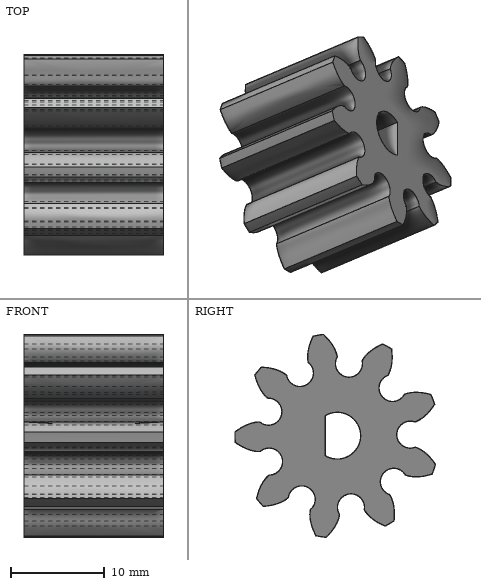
import cadquery as cq
import math

gear_module = 2.0
tooth_count = 9
pressure_angle = math.radians(20)
face_width = 15.0
root_radius = 6.4
tooth_tilt = math.radians(-0.8)

bore_diameter = 5.0
bore_flat_offset = 1.28

pitch_radius = gear_module * tooth_count / 2
tip_radius = pitch_radius + gear_module
base_radius = pitch_radius * math.cos(pressure_angle)
tip_roll = math.sqrt((tip_radius / base_radius) ** 2 - 1)
tooth_pitch = 2 * math.pi / tooth_count
flank_point_count = 6


def involute(angle):
    """Involute function of a pressure angle."""
    return math.tan(angle) - angle


def tooth_half_angle(radius):
    """Angle from the tooth centreline to its involute flank at a given radius."""
    half_angle_at_base = tooth_pitch / 4 + involute(pressure_angle)
    return half_angle_at_base - involute(math.acos(base_radius / radius))


def polar(radius, angle):
    """Point in the YZ plane; angle runs from -Y towards +Z."""
    return (-radius * math.cos(angle), radius * math.sin(angle))


def flank_points(centre_angle, side):
    """Points along one flank from base to tip; side is -1 or +1."""
    points = []
    for step in range(flank_point_count):
        roll = tip_roll * step / (flank_point_count - 1)
        radius = base_radius * math.sqrt(1 + roll ** 2)
        points.append(polar(radius, centre_angle + side * tooth_half_angle(radius)))
    return points


def make_gear():
    """Toothed body: involute flanks, round tips and one round root arc per gap."""
    outline = cq.Workplane("YZ", origin=(-face_width / 2, 0, 0))
    outline = outline.moveTo(*flank_points(tooth_tilt, -1)[0])
    for tooth in range(tooth_count):
        centre = tooth_tilt + tooth * tooth_pitch
        rising = flank_points(centre, -1)
        falling = flank_points(centre, 1)[::-1]
        next_base = flank_points(centre + tooth_pitch, -1)[0]
        outline = outline.spline(rising[1:], includeCurrent=True)
        outline = outline.threePointArc(polar(tip_radius, centre), falling[0])
        outline = outline.spline(falling[1:], includeCurrent=True)
        outline = outline.threePointArc(polar(root_radius, centre + tooth_pitch / 2), next_base)
    return outline.close().extrude(face_width)


def make_bore():
    """D-shaped through bore."""
    bore_radius = bore_diameter / 2
    flat_half_length = math.sqrt(bore_radius ** 2 - bore_flat_offset ** 2)
    return (
        cq.Workplane("YZ", origin=(-face_width / 2, 0, 0))
        .moveTo(-bore_flat_offset, -flat_half_length)
        .threePointArc((bore_radius, 0), (-bore_flat_offset, flat_half_length))
        .close()
        .extrude(face_width)
    )


result = make_gear().cut(make_bore())